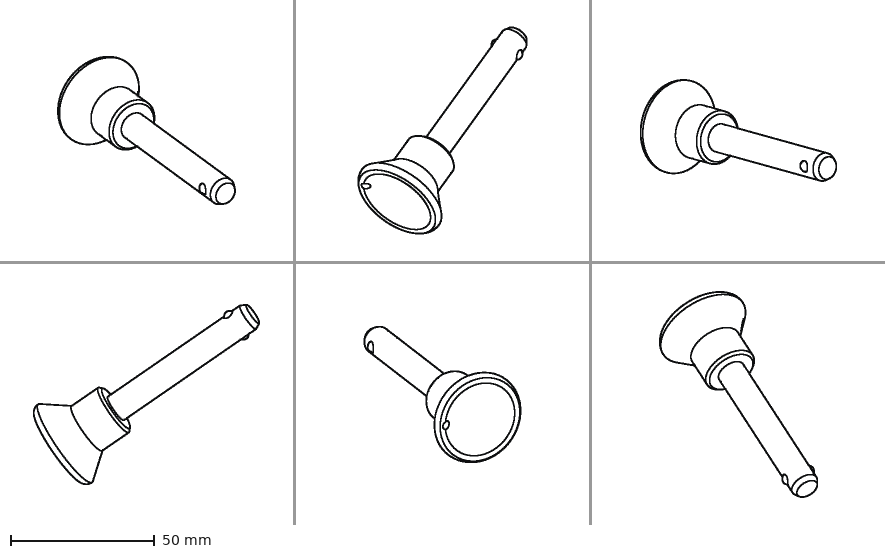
import cadquery as cq
total_length = 83.0
head_diameter = 33.0
head_radius = head_diameter / 2

rim_round_length = 2.15
rim_round_height = 1.1
rim_width = 2.4
flare_end = 11.7
collar_radius = 9.5
collar_end = 24.15
collar_chamfer = 1.0

shank_radius = 5.0
tip_length = 2.0
tip_radius = 4.0

dish_radius = 13.3
dish_depth = 3.7
dish_lip_chamfer = 0.2

lanyard_hole_diameter = 3.0
lanyard_hole_offset = 12.9

ball_radius = 2.0
ball_protrusion = 1.0
ball_centre_offset = shank_radius + ball_protrusion - ball_radius
ball_x = 76.0


def make_body():
    """Revolve the head, collar and shank about the X axis."""
    rim_arc_radius = (rim_round_length**2 + rim_round_height**2) / (2 * rim_round_height)
    profile = (
        cq.Workplane("XY")
        .moveTo(0, 0)
        .lineTo(0, head_radius - rim_round_height)
        .radiusArc((rim_round_length, head_radius), rim_arc_radius)
        .lineTo(rim_width, head_radius)
        .lineTo(flare_end, collar_radius)
        .lineTo(collar_end - collar_chamfer, collar_radius)
        .lineTo(collar_end, collar_radius - collar_chamfer)
        .lineTo(collar_end, shank_radius)
        .lineTo(total_length - tip_length, shank_radius)
        .lineTo(total_length, tip_radius)
        .lineTo(total_length, 0)
        .close()
    )
    return profile.revolve(360, (0, 0, 0), (1, 0, 0))


def make_dish():
    """Spherical cap with a chamfered lip that cuts a shallow dish into the head face."""
    sphere_radius = (dish_radius**2 + dish_depth**2) / (2 * dish_depth)
    profile = (
        cq.Workplane("XY")
        .moveTo(0, 0)
        .lineTo(0, dish_radius + dish_lip_chamfer)
        .lineTo(dish_lip_chamfer, dish_radius)
        .radiusArc((dish_lip_chamfer + dish_depth, 0), sphere_radius)
        .close()
    )
    return profile.revolve(360, (0, 0, 0), (1, 0, 0))


def make_lanyard_hole():
    """Cutter parallel to the pin axis, long enough to leave through the flare."""
    return (
        cq.Workplane("YZ")
        .center(lanyard_hole_offset, 0)
        .circle(lanyard_hole_diameter / 2)
        .extrude(flare_end)
    )


def make_ball(side):
    """Locking ball on the +Y (side = 1) or -Y (side = -1) flank."""
    return cq.Workplane("XZ").sphere(ball_radius).translate((ball_x, side * ball_centre_offset, 0))


def make_ball_pocket(side):
    """Round pocket of the ball's diameter, from the ball's equator out past the shank surface."""
    pocket_plane = cq.Workplane("XZ", origin=(ball_x, side * ball_centre_offset, 0))
    return pocket_plane.circle(ball_radius).extrude(-side * ball_radius)


result = make_body().cut(make_dish()).cut(make_lanyard_hole())
for side in (1, -1):
    result = result.cut(make_ball_pocket(side)).union(make_ball(side))